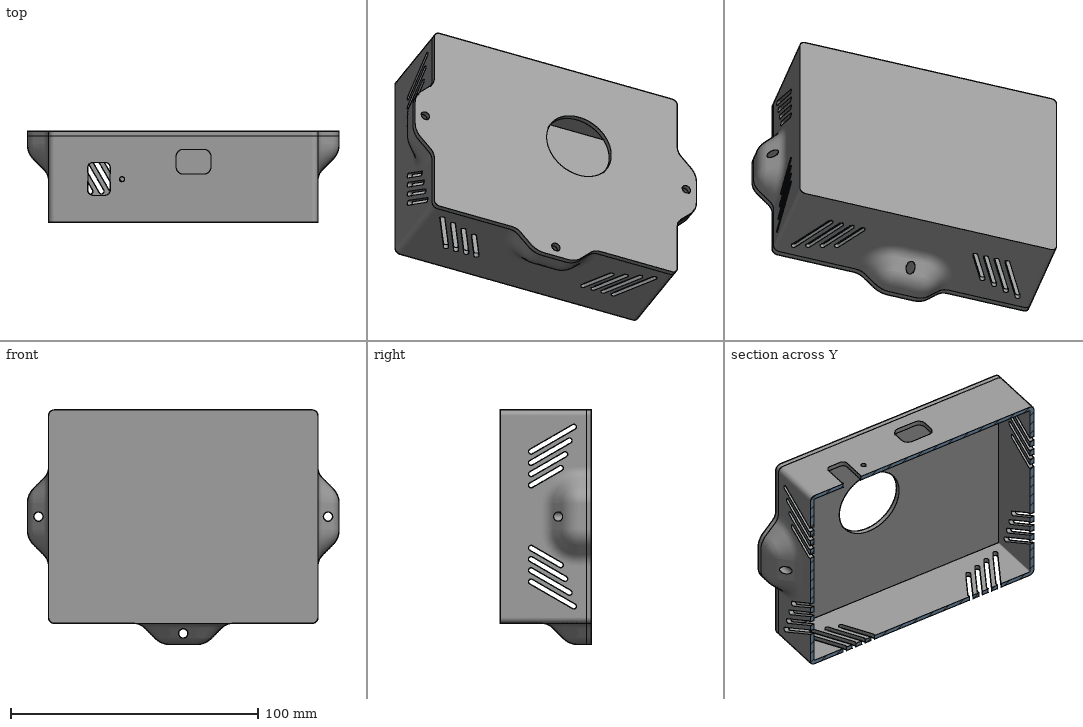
import cadquery as cq
import math

box_width = 108.9
box_height = 86.3
box_depth = 36.8
corner_radius = 2.4
wall = 2.0
lid_thickness = 2.0

ear_rise = 8.6
ear_core = 5.3
ear_crest_radius = 8.6
ear_foot_radius = 6.0
flank_angle = math.radians(45)
screw_hole_diameter = 3.7
screw_hole_offset = 4.0

slot_width = 2.0
slot_count = 4
slot_pitch = 4.5
slot_angle = 30
slot_inner_depth = 24.3
slot_first_inset = 16.9
slot_first_depth = 7.0
slot_depth_step = 1.8

tall_opening = (-34.0, 19.3, 9.0, 13.2, 2.0)
wide_opening = (4.2, 12.3, 14.1, 10.1, 3.0)
light_hole_diameter = 2.0
light_hole_x = -24.7
light_hole_depth = 19.4

lid_opening_diameter = 29
lid_opening_x = -10.3
lid_opening_z = 6.4


def rounded_block(width, height, front_y, back_y, radius):
    """Block between two Y levels with its four long edges rounded."""
    block = cq.Workplane("XY").box(width, back_y - front_y, height)
    return block.translate((0, (front_y + back_y) / 2, 0)).edges("|Y").fillet(radius)


def ear_section(plane):
    """Half section of an ear: local x is the distance out from the core, local y the rise off the wall."""
    bend_sin = math.sin(flank_angle)
    bend_drop = 1 - math.cos(flank_angle)
    half_sin = math.sin(flank_angle / 2)
    half_drop = 1 - math.cos(flank_angle / 2)
    setback = math.tan(flank_angle / 2)
    foot_reach = ear_crest_radius * setback + ear_rise / math.tan(flank_angle) + ear_foot_radius * setback
    return (
        cq.Workplane(plane)
        .lineTo(0, ear_rise)
        .threePointArc(
            (ear_crest_radius * half_sin, ear_rise - ear_crest_radius * half_drop),
            (ear_crest_radius * bend_sin, ear_rise - ear_crest_radius * bend_drop),
        )
        .lineTo(foot_reach - ear_foot_radius * bend_sin, ear_foot_radius * bend_drop)
        .threePointArc(
            (foot_reach - ear_foot_radius * half_sin, ear_foot_radius * half_drop),
            (foot_reach, 0),
        )
        .close()
    )


def make_ear():
    """Ear standing on the plane X = 0 and rising toward -X, centred on Z = 0."""
    side_plane = cq.Plane(origin=(0, 0, ear_core), xDir=(0, 0, 1), normal=(0, -1, 0))
    front_plane = cq.Plane(origin=(0, -ear_core, ear_core), xDir=(0, -1, 0), normal=(0, 0, -1))
    corner_plane = cq.Plane(origin=(0, -ear_core, ear_core), xDir=(0, 0, 1), normal=(0, -1, 0))

    side = ear_section(side_plane).extrude(ear_core)
    corner = ear_section(corner_plane).revolve(90, (0, 0), (0, -1))
    front = ear_section(front_plane).extrude(2 * ear_core)
    core = cq.Workplane("XY").box(ear_rise, ear_core, 2 * ear_core)
    core = core.translate((-ear_rise / 2, -ear_core / 2, 0))
    half = side.union(corner)
    ear = core.union(front).union(half).union(half.mirror("XY"))

    screw_hole = (
        cq.Workplane("XZ")
        .center(-screw_hole_offset, 0)
        .circle(screw_hole_diameter / 2)
        .extrude(box_depth)
    )
    return ear.cut(screw_hole)


def add_ears(body):
    """Ears on the left, bottom and right walls."""
    ear = make_ear()
    for turn, reach in ((0, box_width / 2), (-90, box_height / 2), (180, box_width / 2)):
        placed = ear.translate((-reach, 0, 0)).rotate((0, 0, 0), (0, 1, 0), turn)
        body = body.union(placed)
    return body


def slot_group(half_span):
    """Slot cutters along Z, mirrored about X = 0; `half_span` is half the slotted wall's length."""
    cutters = cq.Workplane("XY")
    slope = math.radians(slot_angle)
    for index in range(slot_count):
        inner_x = -half_span + slot_first_inset + index * slot_pitch
        run = slot_inner_depth - slot_first_depth - index * slot_depth_step
        length = run / math.cos(slope)
        middle_x = inner_x - run * math.tan(slope) / 2
        middle_y = -slot_inner_depth + run / 2
        slot = (
            cq.Workplane("XY")
            .slot2D(length + slot_width, slot_width, 90 + slot_angle)
            .extrude(box_width, both=True)
            .translate((middle_x, middle_y, 0))
        )
        cutters = cutters.add(slot).add(slot.mirror("YZ"))
    return cutters.combine()


def cut_slots(body):
    """Slots through the left and right walls, and through the bottom wall only."""
    side_slots = slot_group(box_height / 2).rotate((0, 0, 0), (0, 1, 0), 90)
    body = body.cut(side_slots)
    lower_half = cq.Workplane("XY").box(box_width, 2 * box_depth, box_height)
    lower_half = lower_half.translate((0, 0, -box_height / 2))
    return body.cut(slot_group(box_width / 2).intersect(lower_half))


def cut_top_openings(body):
    for x, depth, size_x, size_y, radius in (tall_opening, wide_opening):
        opening = cq.Workplane("XY").box(size_x, size_y, 2 * wall).edges("|Z").fillet(radius)
        body = body.cut(opening.translate((x, -depth, box_height / 2)))
    light_hole = (
        cq.Workplane("XY", origin=(light_hole_x, -light_hole_depth, box_height / 2))
        .circle(light_hole_diameter / 2)
        .extrude(wall, both=True)
    )
    return body.cut(light_hole)


def cut_lid_opening(body):
    opening = (
        cq.Workplane("XZ", origin=(lid_opening_x, 0, lid_opening_z))
        .circle(lid_opening_diameter / 2)
        .extrude(lid_thickness)
    )
    return body.cut(opening)


def slab(front_y, back_y):
    """Block between two Y levels, reaching past the ears in X and Z."""
    block = cq.Workplane("XY").box(2 * box_width, back_y - front_y, 2 * box_height)
    return block.translate((0, (front_y + back_y) / 2, 0))


outside = add_ears(rounded_block(box_width, box_height, -box_depth, 0, corner_radius))

lid = cut_lid_opening(outside.intersect(slab(-lid_thickness, 0)))

cavity = rounded_block(
    box_width - 2 * wall, box_height - 2 * wall, wall - box_depth, 0, corner_radius - wall
)
housing = outside.intersect(slab(-box_depth, -lid_thickness)).cut(cavity)
housing = cut_slots(housing)
housing = cut_top_openings(housing)

result = cq.Compound.makeCompound([*housing.solids().vals(), *lid.solids().vals()])